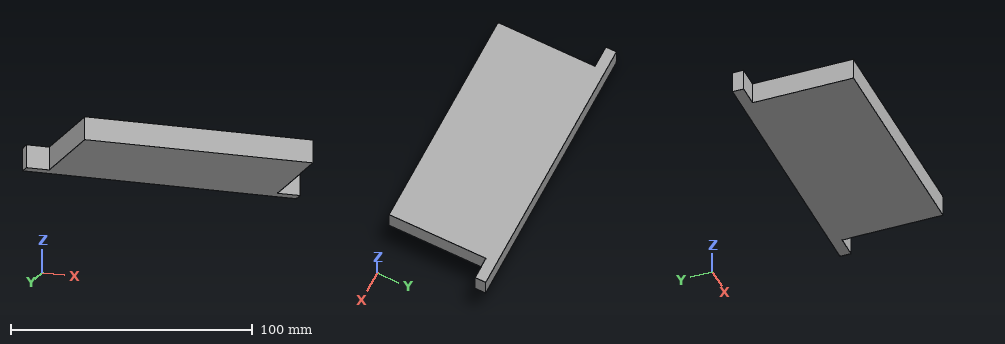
import cadquery as cq

body_width = 100.0
part_depth = 50.0
thickness = 10.0
ear_length = 10.0
flange_depth = 5.0

flange_width = body_width + 2 * ear_length


def make_body():
    """Rectangular plate running the full depth of the part."""
    return cq.Workplane("XY").box(body_width, part_depth, thickness)


def make_flange():
    """Thin bar along the +Y edge whose ends stick out as ears."""
    flange_y = (part_depth - flange_depth) / 2
    return (
        cq.Workplane("XY")
        .center(0, flange_y)
        .box(flange_width, flange_depth, thickness)
    )


result = make_body().union(make_flange()).clean()